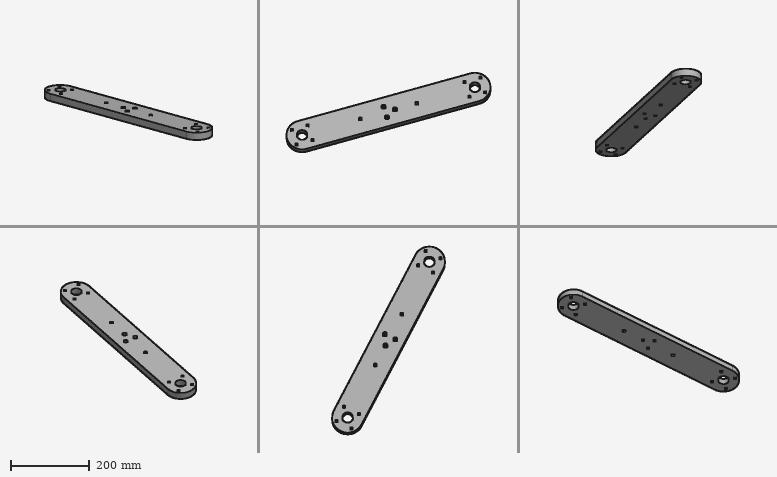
import cadquery as cq

length = 540.0
width = 80.0
thickness = 20.0
end_center_x = (length - width) / 2

bore_diameter = 27.0
bolt_circle_diameter = 60.0
bolt_hole_diameter = 6.5
bolts_per_end = 4
first_bolt_angle = 45

line_hole_spacing = 150.0
line_hole_diameter = 8.0

center_circle_radius = 17.5
center_hole_count = 3
first_center_hole_angle = 180
center_hole_diameter = 6.5
counterbore_diameter = 11.0
counterbore_depth = thickness / 2


def make_plate():
    return cq.Workplane("XY").slot2D(length, width).extrude(thickness)


def cut_end_holes(plate, center_x):
    """Cut the bore and its ring of bolt holes at one end."""
    end_face = plate.faces(">Z").workplane(origin=(center_x, 0, 0))
    plate = end_face.hole(bore_diameter)
    ring_face = plate.faces(">Z").workplane(origin=(center_x, 0, 0))
    ring = ring_face.polarArray(bolt_circle_diameter / 2, first_bolt_angle, 360, bolts_per_end)
    return ring.hole(bolt_hole_diameter)


def cut_line_holes(plate):
    top_face = plate.faces(">Z").workplane(origin=(0, 0, 0))
    return top_face.rarray(line_hole_spacing, 5.5, 2, 1).hole(line_hole_diameter)


def cut_center_holes(plate):
    top_face = plate.faces(">Z").workplane(origin=(0, 0, 0))
    ring = top_face.polarArray(center_circle_radius, first_center_hole_angle, 360, center_hole_count)
    return ring.cboreHole(center_hole_diameter, counterbore_diameter, counterbore_depth)


result = make_plate()
for side in (-1, 1):
    result = cut_end_holes(result, side * end_center_x)
result = cut_line_holes(result)
result = cut_center_holes(result)